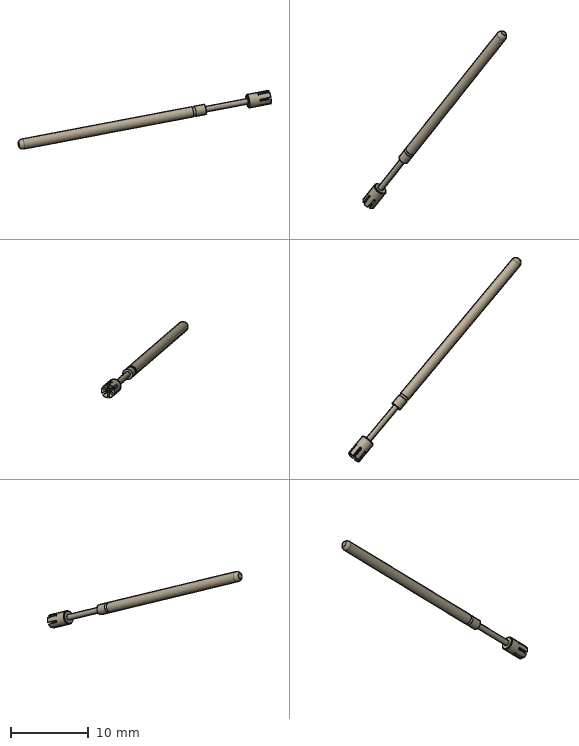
import cadquery as cq
import math

total_length = 33.7

head_diameter = 1.8
head_length = 2.95
head_chamfer = 0.1
slot_width = 0.253
slot_depth = 1.48
through_slot_count = 3
cone_depth = 0.5

rod_diameter = 0.75
barrel_start = 8.65

barrel_diameter = 1.35
groove_start = 10.05
groove_width = 0.35
groove_depth = 0.085
dome_length = 0.57

head_radius = head_diameter / 2
rod_radius = rod_diameter / 2
barrel_radius = barrel_diameter / 2
tail_flat_radius = math.sqrt(barrel_radius**2 - dome_length**2)

head_rim_y = total_length / 2
tail_y = -total_length / 2
head_back_y = head_rim_y - head_length
barrel_mouth_y = head_rim_y - barrel_start
groove_near_y = head_rim_y - groove_start
groove_far_y = groove_near_y - groove_width
dome_y = tail_y + dome_length


def make_turned_body():
    """Revolve the half profile of cone-faced head, rod and barrel about the Y axis."""
    groove_middle = (barrel_radius - groove_depth, (groove_near_y + groove_far_y) / 2)
    dome_angle = math.asin(dome_length / barrel_radius) / 2
    dome_middle = (
        barrel_radius * math.cos(dome_angle),
        dome_y - barrel_radius * math.sin(dome_angle),
    )
    profile = (
        cq.Workplane("XY")
        .moveTo(0, head_rim_y - cone_depth)
        .lineTo(head_radius, head_rim_y)
        .lineTo(head_radius, head_back_y + head_chamfer)
        .lineTo(head_radius - head_chamfer, head_back_y)
        .lineTo(rod_radius, head_back_y)
        .lineTo(rod_radius, barrel_mouth_y)
        .lineTo(barrel_radius, barrel_mouth_y)
        .lineTo(barrel_radius, groove_near_y)
        .threePointArc(groove_middle, (barrel_radius, groove_far_y))
        .lineTo(barrel_radius, dome_y)
        .threePointArc(dome_middle, (tail_flat_radius, tail_y))
        .lineTo(0, tail_y)
        .close()
    )
    return profile.revolve(360, (0, 0, 0), (0, 1, 0))


def make_head_slot(angle):
    """Slot across the full head diameter, open at the head rim, turned about the Y axis."""
    slot = cq.Workplane("XY").box(slot_width, slot_depth, 2 * head_diameter)
    slot = slot.translate((0, head_rim_y - slot_depth / 2, 0))
    return slot.rotate((0, 0, 0), (0, 1, 0), angle)


result = make_turned_body()
for slot_index in range(through_slot_count):
    result = result.cut(make_head_slot(slot_index * 180 / through_slot_count))